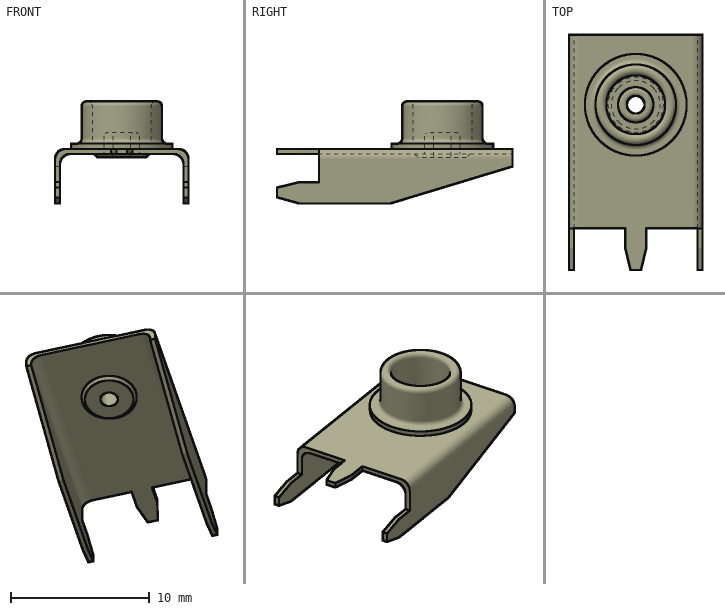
import cadquery as cq


total_length = 17.02
sheet = 0.37

bracket_width = 9.65
bend_radius = 0.75
rear_y = 5.07
prong_length = 3.03
prong_taper = 1.6
rear_leg_depth = 1.28
leg_depth = 3.95
slope_end_y = -3.75
prong_top_depth = 2.4
prong_tip_top_depth = 2.79
prong_tip_bottom_depth = 3.5
tab_width = 1.53
tab_tip_width = 0.77

tip_y = rear_y - total_length
front_y = tip_y + prong_length
taper_y = tip_y + prong_taper

shell_height = 3.44
barrel_radius = 2.91
bore_radius = 2.13
flange_radius = 3.68

rivet_radius = 1.28
rivet_hole_radius = 0.63
rivet_height = 1.19
rivet_outer_round = 0.29
rivet_inner_round = 0.24
head_top_radius = 1.99
head_bottom_radius = 1.75
head_thickness = 0.24


def channel_block(width, top_z):
    """Full-length block with its two upper long edges rounded."""
    return (
        cq.Workplane("XY")
        .box(width, total_length, leg_depth + top_z, centered=(True, False, False))
        .translate((0, tip_y, -leg_depth))
        .edges("|Y and >Z")
        .fillet(bend_radius)
    )


def leg_side_profile():
    """Side outline of both legs, extruded across the bracket width."""
    outline = [
        (rear_y, 0),
        (rear_y, -rear_leg_depth),
        (slope_end_y, -leg_depth),
        (taper_y, -leg_depth),
        (tip_y, -prong_tip_bottom_depth),
        (tip_y, -prong_tip_top_depth),
        (taper_y, -prong_top_depth),
        (front_y, -prong_top_depth),
        (front_y, 0),
    ]
    return cq.Workplane("YZ").polyline(outline).close().extrude(bracket_width / 2, both=True)


def front_tab():
    """Tapered tab that continues the plate forward."""
    outline = [
        (-tab_width / 2, front_y),
        (-tab_width / 2, taper_y),
        (-tab_tip_width / 2, tip_y),
        (tab_tip_width / 2, tip_y),
        (tab_width / 2, taper_y),
        (tab_width / 2, front_y),
    ]
    return cq.Workplane("XY").polyline(outline).close().extrude(-sheet)


def make_bracket():
    """Bent sheet channel with two side prongs, a front tab and the rivet hole."""
    channel = channel_block(bracket_width, 0).cut(channel_block(bracket_width - 2 * sheet, -sheet))
    rivet_hole = cq.Workplane("XY").circle(rivet_radius).extrude(-sheet)
    return channel.intersect(leg_side_profile()).union(front_tab()).cut(rivet_hole)


def make_shell():
    """Flanged cup with a rounded rim and a floor pierced for the rivet."""
    profile = (
        cq.Workplane("XZ")
        .moveTo(rivet_radius, 0)
        .lineTo(flange_radius, 0)
        .lineTo(flange_radius, sheet)
        .lineTo(barrel_radius + sheet, sheet)
        .radiusArc((barrel_radius, 2 * sheet), sheet)
        .lineTo(barrel_radius, shell_height - sheet)
        .radiusArc((barrel_radius - sheet, shell_height), -sheet)
        .lineTo(bore_radius + sheet, shell_height)
        .radiusArc((bore_radius, shell_height - sheet), -sheet)
        .lineTo(bore_radius, sheet)
        .lineTo(rivet_radius, sheet)
        .close()
    )
    return profile.revolve(360, (0, 0, 0), (0, 1, 0))


def make_rivet():
    """Hollow post with a rounded top and a tapered head under the plate."""
    head_bottom_z = -sheet - head_thickness
    profile = (
        cq.Workplane("XZ")
        .moveTo(rivet_hole_radius, head_bottom_z)
        .lineTo(head_bottom_radius, head_bottom_z)
        .lineTo(head_top_radius, -sheet)
        .lineTo(rivet_radius, -sheet)
        .lineTo(rivet_radius, rivet_height - rivet_outer_round)
        .radiusArc((rivet_radius - rivet_outer_round, rivet_height), -rivet_outer_round)
        .lineTo(rivet_hole_radius + rivet_inner_round, rivet_height)
        .radiusArc((rivet_hole_radius, rivet_height - rivet_inner_round), -rivet_inner_round)
        .close()
    )
    return profile.revolve(360, (0, 0, 0), (0, 1, 0))


bracket = make_bracket()
shell = make_shell()
rivet = make_rivet()

result = cq.Compound.makeCompound([bracket.val(), shell.val(), rivet.val()])